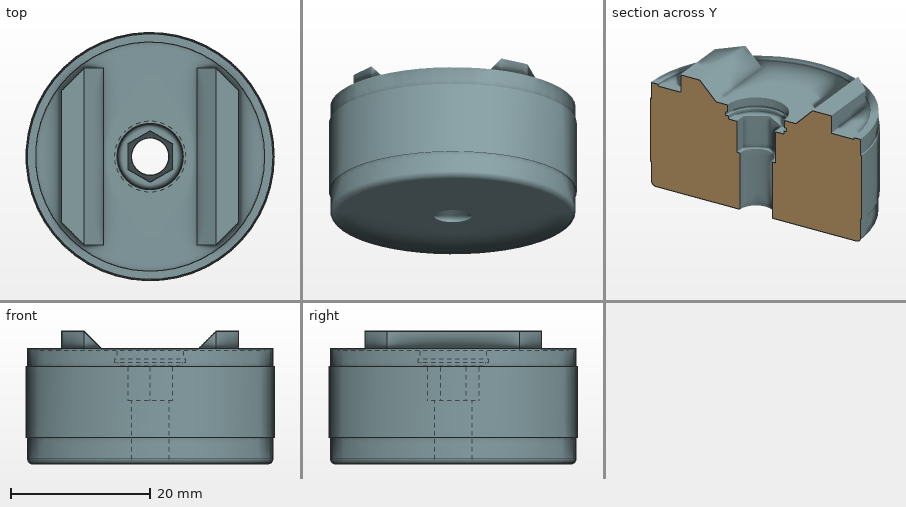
import cadquery as cq

body_diameter = 35.62
end_diameter = 35.23
lower_step_z = 3.78
upper_step_z = 14.0
rim_z = 16.55
base_fillet = 0.8

recess_diameter = 32.88
recess_depth = 0.3
floor_z = rim_z - recess_depth

rail_top_z = 19.05
rail_height = rail_top_z - floor_z
rail_outer_x = 12.68
rail_top_inner_x = 9.47
rail_bottom_inner_x = rail_top_inner_x - rail_height
rail_length = 2 * rail_outer_x
rail_corner_chamfer = rail_outer_x - rail_top_inner_x

mouth_diameter = 9.5
seat_diameter = 9.25
seat_depth = 2.2
groove_diameter = 10.2
groove_top_depth = 1.25
groove_bottom_depth = 1.7
hex_across_flats = 6.38
hex_depth = 5.0
through_diameter = 5.35


def disc(diameter, bottom_z, top_z):
    """Solid cylinder on the Z axis between two heights."""
    return cq.Workplane("XY").workplane(offset=bottom_z).circle(diameter / 2).extrude(top_z - bottom_z)


def make_body():
    base = disc(end_diameter, 0, lower_step_z).faces("<Z").edges().fillet(base_fillet)
    middle = disc(body_diameter, lower_step_z, upper_step_z)
    top = disc(end_diameter, upper_step_z, rim_z)
    return base.union(middle).union(top).cut(disc(recess_diameter, floor_z, rim_z))


def make_rail():
    """Rail on the +X side, with its inner face sloped and its outer corners chamfered."""
    profile = [
        (rail_bottom_inner_x, floor_z),
        (rail_outer_x, floor_z),
        (rail_outer_x, rail_top_z),
        (rail_top_inner_x, rail_top_z),
    ]
    bar = cq.Workplane("XZ").polyline(profile).close().extrude(rail_length / 2, both=True)
    half_length = rail_length / 2
    plan = [
        (rail_bottom_inner_x, -half_length),
        (rail_outer_x - rail_corner_chamfer, -half_length),
        (rail_outer_x, -half_length + rail_corner_chamfer),
        (rail_outer_x, half_length - rail_corner_chamfer),
        (rail_outer_x - rail_corner_chamfer, half_length),
        (rail_bottom_inner_x, half_length),
    ]
    envelope = cq.Workplane("XY").workplane(offset=floor_z).polyline(plan).close().extrude(rail_height)
    return bar.intersect(envelope)


def make_bore():
    seat_z = floor_z - seat_depth
    groove_top_z = floor_z - groove_top_depth
    groove_bottom_z = floor_z - groove_bottom_depth
    hex_socket = (
        cq.Workplane("XY")
        .workplane(offset=seat_z - hex_depth)
        .polygon(6, hex_across_flats, circumscribed=True)
        .extrude(hex_depth)
    )
    return (
        disc(through_diameter, 0, floor_z)
        .union(hex_socket)
        .union(disc(seat_diameter, seat_z, groove_bottom_z))
        .union(disc(groove_diameter, groove_bottom_z, groove_top_z))
        .union(disc(mouth_diameter, groove_top_z, floor_z))
    )


rail = make_rail()
result = make_body().union(rail).union(rail.mirror("YZ")).cut(make_bore())